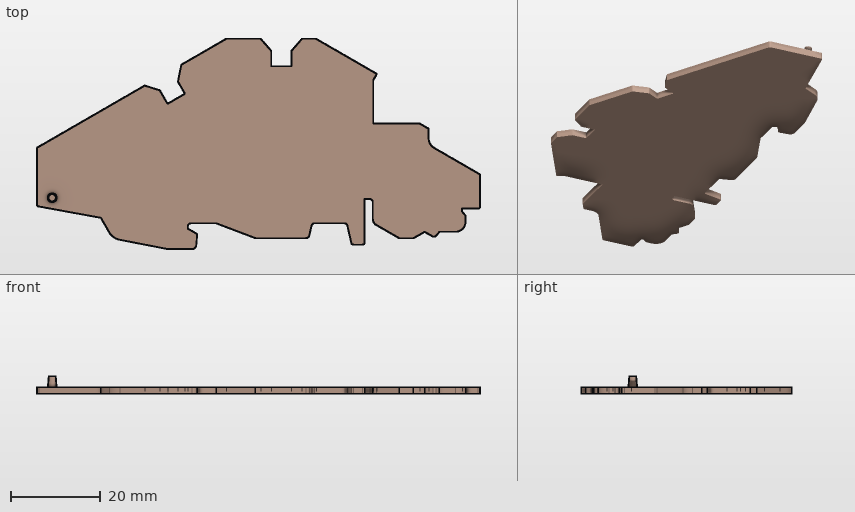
import cadquery as cq
import math

LENGTH = 99.0
WIDTH = 47.0
PLATE_THICKNESS = 1.5

PIN_X = 3.45
PIN_Y = 11.5
PIN_HEIGHT = 2.5
PIN_BASE_DIAMETER = 2.0
PIN_TOP_DIAMETER = 1.6

ROOF_SLOPE = math.tan(math.radians(30))
STEEP_SLOPE = math.tan(math.radians(60))
BELLY_SLOPE = math.tan(math.radians(11))

EDGE_RADIUS = 0.5

LEFT_CORNER_Y = 9.6
LEFT_SHOULDER_Y = 22.65
SHELF_Y = 28.1
FOOT_Y = 2.45
RECESS_Y = 5.75
RIGHT_BASE_Y = 3.85
STEP_X = 75.15
SHELF_END_X = 87.5
NOSE_X = 95.75

TOP_SLOT_CENTER_X = 54.6
TOP_SLOT_WIDTH = 4.5
TOP_SLOT_DEPTH = 6.1
TOP_SLOT_FLARE_WIDTH = 9.2
TOP_SLOT_FLARE_DEPTH = 2.7

LEG_SLOT_LEFT_X = 73.2
LEG_SLOT_WIDTH = 1.8
LEG_SLOT_TOP_Y = 11.2
LEG_BOTTOM_Y = 1.0


def upper_left_corners():
    """Sloping left shoulder and the oblique notch, as (x, y, corner radius)."""
    peak_x = 24.1
    notch_x, notch_y = 29.2, 32.5
    notch_lip_height = 3.0
    notch_floor_run = 3.85
    notch_far_x = notch_x + notch_floor_run
    notch_far_y = notch_y + notch_floor_run * ROOF_SLOPE
    overhang_height = 2.7
    roof_start_x, roof_start_y = 32.25, 41.2
    roof_end_x = roof_start_x + (WIDTH - roof_start_y) / ROOF_SLOPE
    return [
        (0, LEFT_CORNER_Y, EDGE_RADIUS),
        (0, LEFT_SHOULDER_Y, EDGE_RADIUS),
        (peak_x, LEFT_SHOULDER_Y + peak_x * ROOF_SLOPE, 0),
        (notch_x - notch_lip_height / STEEP_SLOPE, notch_y + notch_lip_height, 0),
        (notch_x, notch_y, 0),
        (notch_far_x, notch_far_y, 0),
        (notch_far_x - overhang_height / STEEP_SLOPE, notch_far_y + overhang_height, EDGE_RADIUS),
        (roof_start_x, roof_start_y, EDGE_RADIUS),
        (roof_end_x, WIDTH, 0),
    ]


def top_slot_corners():
    """Flared slot, symmetric about its center line."""
    half_flare = TOP_SLOT_FLARE_WIDTH / 2
    half_slot = TOP_SLOT_WIDTH / 2
    flare_y = WIDTH - TOP_SLOT_FLARE_DEPTH
    floor_y = WIDTH - TOP_SLOT_DEPTH
    return [
        (TOP_SLOT_CENTER_X - half_flare, WIDTH, 0),
        (TOP_SLOT_CENTER_X - half_slot, flare_y, 0),
        (TOP_SLOT_CENTER_X - half_slot, floor_y, 0),
        (TOP_SLOT_CENTER_X + half_slot, floor_y, 0),
        (TOP_SLOT_CENTER_X + half_slot, flare_y, 0),
        (TOP_SLOT_CENTER_X + half_flare, WIDTH, 0),
    ]


def upper_right_corners():
    """Right roof slope, the step down to the shelf and the right end."""
    roof_start_x = 62.35
    eave_x = 75.95
    eave_y = WIDTH - (eave_x - roof_start_x) * ROOF_SLOPE
    eave_underside_y = eave_y - (eave_x - STEP_X) * STEEP_SLOPE
    shelf_chamfer = 2.05
    shelf_root_radius = 2.5
    end_shoulder_y = 16.7
    end_slope_top_y = end_shoulder_y + (LENGTH - SHELF_END_X) * ROOF_SLOPE
    end_bottom_y = 9.05
    undercut_x, undercut_y = 94.95, 8.45
    return [
        (roof_start_x, WIDTH, 0),
        (eave_x, eave_y, 0),
        (STEP_X, eave_underside_y, 0),
        (STEP_X, SHELF_Y, 0),
        (SHELF_END_X - shelf_chamfer, SHELF_Y, 0),
        (SHELF_END_X, SHELF_Y - shelf_chamfer * ROOF_SLOPE, 0),
        (SHELF_END_X, end_slope_top_y, shelf_root_radius),
        (LENGTH, end_shoulder_y, EDGE_RADIUS),
        (LENGTH, end_bottom_y, EDGE_RADIUS),
        (undercut_x, end_bottom_y, 0),
        (undercut_x, undercut_y, 0),
    ]


def lower_right_corners():
    """Rounded nose, the small tooth and the lobe beside the leg slot."""
    nose_top_y, nose_radius = 7.5, 2.3
    tooth_start_x, tooth_end_x = 86.6, 89.9
    tooth_tip_x, tooth_tip_y, tooth_radius = 88.8, 2.6, 0.6
    lobe_flat_end_x = 84.1
    lobe_radius, slot_radius = 1.5, 0.7
    lobe_x = LEG_SLOT_LEFT_X + LEG_SLOT_WIDTH
    lobe_flat_start_x = 80.9
    lobe_corner_y = FOOT_Y + (lobe_flat_start_x - lobe_x) * ROOF_SLOPE
    return [
        (NOSE_X, nose_top_y, EDGE_RADIUS),
        (NOSE_X, RIGHT_BASE_Y, nose_radius),
        (tooth_end_x, RIGHT_BASE_Y, 0),
        (tooth_tip_x, tooth_tip_y, tooth_radius),
        (tooth_start_x, RIGHT_BASE_Y, 0),
        (lobe_flat_end_x, FOOT_Y, 0),
        (lobe_flat_start_x, FOOT_Y, 0),
        (lobe_x, lobe_corner_y, lobe_radius),
        (lobe_x, LEG_SLOT_TOP_Y, slot_radius),
        (LEG_SLOT_LEFT_X, LEG_SLOT_TOP_Y, 0),
    ]


def lower_left_corners():
    """Latch leg, bottom recesses, the hook and the sloping belly."""
    leg_outer_x = 70.3
    wide_recess_start_x, wide_recess_end_x = 61.5, 69.2
    foot_start_x, foot_end_x = 48.8, 60.7
    foot_radius = 0.8
    hook_recess_start_x, hook_recess_end_x = 33.75, 40.1
    hook_throat_y, hook_throat_radius, hook_recess_radius = 4.6, 0.2, 0.6
    hook_x, hook_top_y = 35.85, 3.4
    hook_draft, hook_tip_radius = 0.3, 1.0
    belly_end_x = 29.25
    belly_corner_x = 16.95
    belly_radius = 3.5
    belly_corner_y = (belly_end_x - belly_corner_x) * BELLY_SLOPE
    step_height = 4.6
    return [
        (LEG_SLOT_LEFT_X, LEG_BOTTOM_Y, EDGE_RADIUS),
        (leg_outer_x, LEG_BOTTOM_Y, EDGE_RADIUS),
        (wide_recess_end_x, RECESS_Y, EDGE_RADIUS),
        (wide_recess_start_x, RECESS_Y, EDGE_RADIUS),
        (foot_end_x, FOOT_Y, foot_radius),
        (foot_start_x, FOOT_Y, 0),
        (hook_recess_end_x, RECESS_Y, 0),
        (hook_recess_start_x, RECESS_Y, hook_recess_radius),
        (hook_recess_start_x, hook_throat_y, hook_throat_radius),
        (hook_x, hook_top_y, EDGE_RADIUS),
        (hook_x - hook_draft, 0, hook_tip_radius),
        (belly_end_x, 0, 0),
        (belly_corner_x, belly_corner_y, belly_radius),
        (belly_corner_x - step_height / STEEP_SLOPE, belly_corner_y + step_height, 0),
    ]


def direction(start, end):
    """Unit vector from one corner to another."""
    return (cq.Vector(end[0], end[1]) - cq.Vector(start[0], start[1])).normalized()


def rounded_outline(corners):
    """Closed wire through the corners, with a tangent arc where a radius is given."""
    outline = None
    for index, corner in enumerate(corners):
        point = cq.Vector(corner[0], corner[1])
        radius = corner[2]
        if radius == 0:
            start = point
        else:
            to_previous = direction(corner, corners[index - 1])
            to_next = direction(corner, corners[(index + 1) % len(corners)])
            half_angle = to_previous.getAngle(to_next) / 2
            setback = radius / math.tan(half_angle)
            bisector = (to_previous + to_next).normalized()
            start = point + to_previous * setback
            middle = point + bisector * (radius / math.sin(half_angle) - radius)
            end = point + to_next * setback
        if outline is None:
            outline = cq.Workplane("XY").moveTo(start.x, start.y)
        else:
            outline = outline.lineTo(start.x, start.y)
        if radius > 0:
            outline = outline.threePointArc((middle.x, middle.y), (end.x, end.y))
    return outline.close()


def make_plate():
    corners = (
        upper_left_corners()
        + top_slot_corners()
        + upper_right_corners()
        + lower_right_corners()
        + lower_left_corners()
    )
    return rounded_outline(corners).extrude(PLATE_THICKNESS)


def make_pin():
    pin = cq.Solid.makeCone(
        PIN_BASE_DIAMETER / 2,
        PIN_TOP_DIAMETER / 2,
        PIN_HEIGHT,
        pnt=cq.Vector(PIN_X, PIN_Y, PLATE_THICKNESS),
    )
    return cq.Workplane(pin)


result = make_plate().union(make_pin())